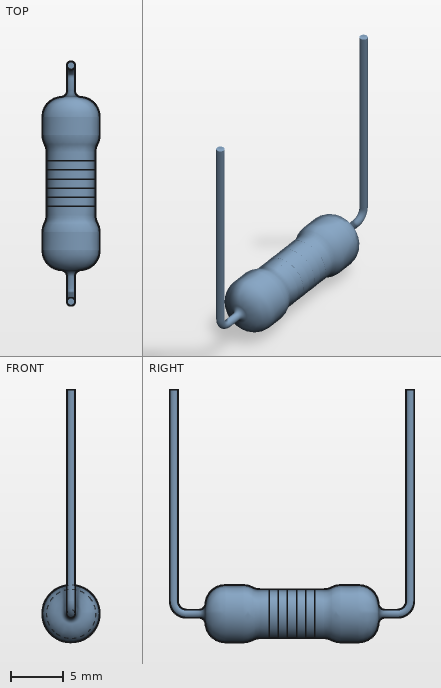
import cadquery as cq
import math

cap_radius = 5.5 / 2
band_radius = 4.7 / 2
gap_radius = 4.68 / 2
body_half_length = 8.27
cap_corner_radius = 1.93
cap_inner_end = 4.6

band_count = 7
band_width = 0.87
waist_half_length = band_count * band_width / 2

wire_radius = 0.8 / 2
lead_span = 23.3
lead_top = 24.1 - cap_radius
bend_radius = 1.2
flare_radius = 0.55
lead_offset = lead_span / 2 - wire_radius
bend_start = lead_offset - bend_radius

diagonal = math.sqrt(0.5)


def make_cap():
    """Positive-Y cap with its neck, and the flare onto the wire."""
    neck_middle_y = (waist_half_length + cap_inner_end) / 2
    neck_middle_radius = (band_radius + cap_radius) / 2
    corner_start = body_half_length - cap_corner_radius
    corner_centre_radius = cap_radius - cap_corner_radius
    flare_centre_radius = wire_radius + flare_radius
    centre_distance = cap_corner_radius + flare_radius
    tilt = math.asin((flare_centre_radius - corner_centre_radius) / centre_distance)
    flare_end = corner_start + centre_distance * math.cos(tilt)
    flare_start = (
        corner_centre_radius + cap_corner_radius * math.sin(tilt),
        corner_start + cap_corner_radius * math.cos(tilt),
    )
    half_rise = neck_middle_radius - band_radius
    half_run = neck_middle_y - waist_half_length
    neck_arc_radius = (half_run**2 + half_rise**2) / (2 * half_rise)
    return (
        cq.Workplane("XY")
        .moveTo(0, waist_half_length)
        .lineTo(band_radius, waist_half_length)
        .radiusArc((neck_middle_radius, neck_middle_y), neck_arc_radius)
        .radiusArc((cap_radius, cap_inner_end), -neck_arc_radius)
        .lineTo(cap_radius, corner_start)
        .radiusArc(flare_start, -cap_corner_radius)
        .radiusArc((wire_radius, flare_end), flare_radius)
        .lineTo(0, flare_end)
        .close()
        .revolve(360, (0, 0, 0), (0, 1, 0))
    )


def make_waist_section(index):
    """One section of the waist; even sections are raised bands, odd ones are gaps."""
    section_end = (index + 1) * band_width - waist_half_length
    section_radius = band_radius if index % 2 == 0 else gap_radius
    return cq.Workplane("XZ", origin=(0, section_end, 0)).circle(section_radius).extrude(band_width)


def make_lead():
    """Positive-Y wire: out of the body, round the bend and straight up."""
    bend_middle = (
        bend_start + bend_radius * diagonal,
        bend_radius * (1 - diagonal),
    )
    path = (
        cq.Workplane("YZ")
        .moveTo(body_half_length, 0)
        .lineTo(bend_start, 0)
        .threePointArc(bend_middle, (lead_offset, bend_radius))
        .lineTo(lead_offset, lead_top)
    )
    return cq.Workplane("XZ", origin=(0, body_half_length, 0)).circle(wire_radius).sweep(path)


half = make_cap().union(make_lead())
opposite_half = half.mirror("XZ")

result = half
for index in range(band_count):
    result = result.union(make_waist_section(index))
result = result.union(opposite_half)